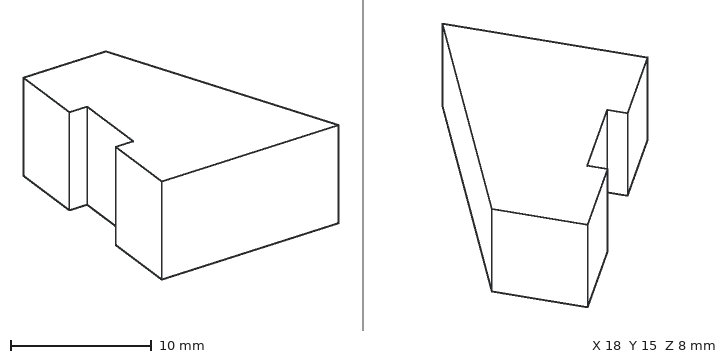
import cadquery as cq

length = 18.0
depth_right = 15.0
depth_left = 7.0
height = 8.0

notch_width = length / 3
notch_depth = 1.5

half_length = length / 2
wedge = (
    cq.Workplane("XY")
    .moveTo(-half_length, 0)
    .lineTo(half_length, 0)
    .lineTo(half_length, depth_right)
    .lineTo(-half_length, depth_left)
    .close()
    .extrude(height)
)

notch = cq.Workplane("XY").box(notch_width, notch_depth, height, centered=(True, False, False))

result = wedge.cut(notch)